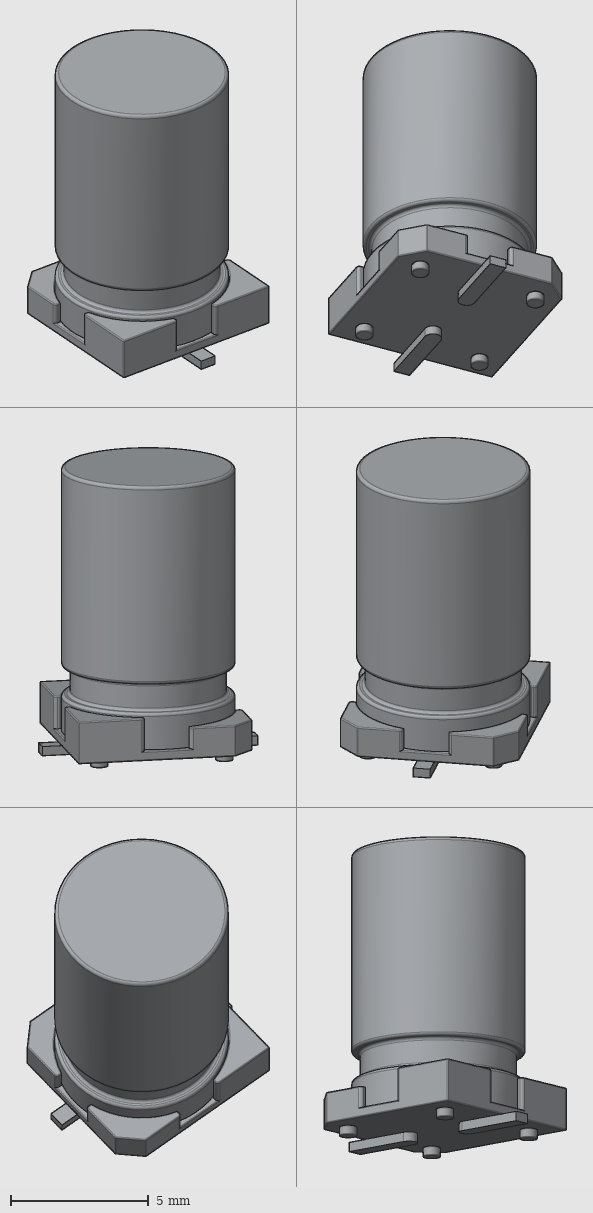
import cadquery as cq
import math

total_height = 10.5
can_radius = 3.15
neck_radius = 2.84
top_round = 0.13
bead_round = 0.12
neck_bottom = 2.17
neck_top = 3.0

base_side = 6.6
base_bottom = 0.35
low_corner_top = 1.49
high_corner_top = 1.91
corner_chamfer = 0.79
edge_round = 0.04

recess_floor = 0.7
notch_width = 1.68
notch_face_round = 0.13
notch_bore_round = 0.04
bore_radius = 3.17

lead_span = 8.0
lead_width = 0.63
lead_gap = 2.18
foot_radius = 0.32
foot_offset = 2.32
foot_round = 0.03

pick_margin = 0.01


def make_can():
    """Revolved can with a necked groove whose lips are rounded."""
    lip_radius = can_radius - bead_round
    fillet_radius = neck_radius + bead_round
    body_bottom = neck_top + bead_round
    skirt_top = neck_bottom - bead_round
    outline = (
        cq.Workplane("XZ")
        .moveTo(0, recess_floor)
        .lineTo(can_radius, recess_floor)
        .lineTo(can_radius, skirt_top - bead_round)
        .radiusArc((lip_radius, skirt_top), -bead_round)
        .lineTo(fillet_radius, skirt_top)
        .radiusArc((neck_radius, neck_bottom), bead_round)
        .lineTo(neck_radius, neck_top)
        .radiusArc((fillet_radius, body_bottom), bead_round)
        .lineTo(lip_radius, body_bottom)
        .radiusArc((can_radius, body_bottom + bead_round), -bead_round)
        .lineTo(can_radius, total_height - top_round)
        .radiusArc((can_radius - top_round, total_height), -top_round)
        .lineTo(0, total_height)
        .close()
    )
    return outline.revolve(360, (0, 0, 0), (0, 1, 0))


def round_notch_edges(block, distance, radius):
    """Round the vertical notch edges that lie at the given distance from the centre planes."""
    half_notch = notch_width / 2
    for x, y in [(distance, half_notch), (half_notch, distance)]:
        for sign_x in (1, -1):
            for sign_y in (1, -1):
                corner = (sign_x * x, sign_y * y)
                lower = (corner[0] - pick_margin, corner[1] - pick_margin, recess_floor)
                upper = (corner[0] + pick_margin, corner[1] + pick_margin, high_corner_top)
                pick_box = cq.selectors.BoxSelector(lower, upper)
                block = block.edges("|Z").edges(pick_box).fillet(radius)
    return block


def make_base():
    """Square base: chamfered low corners on -X, taller square corners on +X."""
    block = (
        cq.Workplane("XY")
        .workplane(offset=base_bottom)
        .rect(base_side, base_side)
        .extrude(high_corner_top - base_bottom)
        .edges("|Z and <X")
        .chamfer(corner_chamfer)
    )
    low_side = (
        cq.Workplane("XY")
        .workplane(offset=low_corner_top)
        .center(-base_side / 2, 0)
        .rect(base_side, base_side)
        .extrude(total_height)
    )
    block = block.cut(low_side)
    floor_plane = cq.Workplane("XY").workplane(offset=recess_floor)
    cavity = floor_plane.circle(bore_radius).extrude(total_height)
    notch = floor_plane.rect(base_side, notch_width).extrude(total_height)
    block = block.cut(cavity).cut(notch)
    block = block.cut(notch.rotate((0, 0, 0), (0, 0, 1), 90))
    face_edge = base_side / 2
    bore_edge = math.sqrt(bore_radius**2 - (notch_width / 2) ** 2)
    block = round_notch_edges(block, face_edge, notch_face_round)
    block = round_notch_edges(block, bore_edge, notch_bore_round)
    outer_faces = block.faces("<X or >X or <Y or >Y or <Z or >Z or <(1, 1, 0) or <(1, -1, 0)")
    return outer_faces.edges().fillet(edge_round)


def make_lead(direction):
    """Flat lead leaving the base along X with a rounded inner end."""
    tip = lead_span / 2
    round_centre = lead_gap / 2 + lead_width / 2
    bar = (
        cq.Workplane("XY")
        .center(direction * (tip + round_centre) / 2, 0)
        .rect(tip - round_centre, lead_width)
        .extrude(base_bottom)
    )
    inner_end = (
        cq.Workplane("XY")
        .center(direction * round_centre, 0)
        .circle(lead_width / 2)
        .extrude(base_bottom)
    )
    return bar.union(inner_end)


def make_feet():
    """Four round standoff feet with rounded rims."""
    return (
        cq.Workplane("XY")
        .rect(2 * foot_offset, 2 * foot_offset, forConstruction=True)
        .vertices()
        .circle(foot_radius)
        .extrude(base_bottom)
        .faces("<Z or >Z")
        .edges()
        .fillet(foot_round)
    )


result = make_base().union(make_can()).union(make_feet())
for side in (-1, 1):
    result = result.union(make_lead(side))